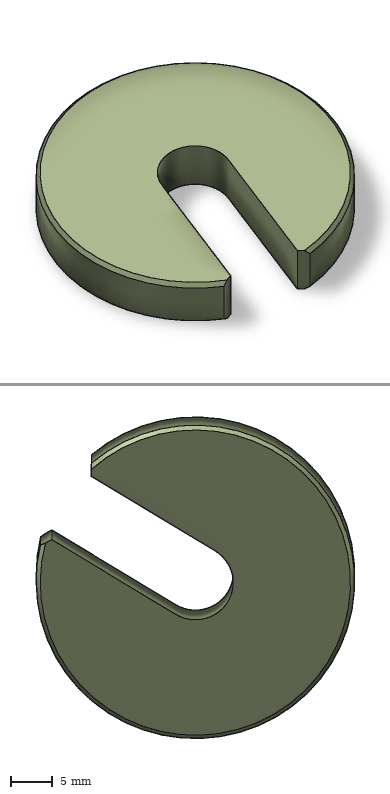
import cadquery as cq
import math

disc_diameter = 37.95
thickness = 6.5
rim_chamfer = 0.5
slot_width = 9.0
mouth_start_x = 17.3
mouth_flare_angle = 60.0

disc_radius = disc_diameter / 2
slot_radius = slot_width / 2
cutter_end_x = disc_radius + rim_chamfer
flare_rise = (cutter_end_x - mouth_start_x) * math.tan(math.radians(mouth_flare_angle))
mouth_half_width = slot_radius + flare_rise


def chamfered_disc():
    """Disc standing on the XY plane, with both rims chamfered."""
    return cq.Workplane("XY").circle(disc_radius).extrude(thickness).edges().chamfer(rim_chamfer)


def slot_cutter():
    """Round-ended slot from the disc centre out through +X, flared at its mouth."""
    return (
        cq.Workplane("XY")
        .moveTo(0, slot_radius)
        .lineTo(mouth_start_x, slot_radius)
        .lineTo(cutter_end_x, mouth_half_width)
        .lineTo(cutter_end_x, -mouth_half_width)
        .lineTo(mouth_start_x, -slot_radius)
        .lineTo(0, -slot_radius)
        .threePointArc((-slot_radius, 0), (0, slot_radius))
        .close()
        .extrude(thickness)
    )


result = chamfered_disc().cut(slot_cutter())